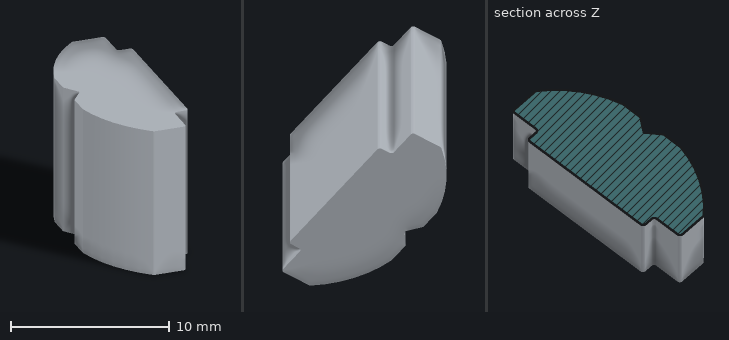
import cadquery as cq
import math

length = 10.0
body_width = 14.5
body_depth = 6.2

neck_width = 10.0
neck_height = 1.0

wall_end_depth = 3.2
flat_width = 5.0
curve_radius = 8.5

groove_width = 2.0
groove_depth = 0.75

edge_radius = 0.2

half_body = body_width / 2
half_neck = neck_width / 2
half_flat = flat_width / 2
half_groove = groove_width / 2


def curve_midpoint(start, end, radius):
    """Middle of the minor arc from start to end, bulging to the right of travel."""
    dx = end[0] - start[0]
    dy = end[1] - start[1]
    chord = math.hypot(dx, dy)
    bulge = radius - math.sqrt(radius**2 - (chord / 2) ** 2)
    return (
        (start[0] + end[0]) / 2 + bulge * dy / chord,
        (start[1] + end[1]) / 2 - bulge * dx / chord,
    )


def make_body():
    """Extruded profile: neck, shoulders, side walls, curved flanks and grooved flat."""
    left_wall_end = (-half_body, -wall_end_depth)
    left_flat_end = (-half_flat, -body_depth)
    right_flat_end = (half_flat, -body_depth)
    right_wall_end = (half_body, -wall_end_depth)
    return (
        cq.Workplane("XY")
        .moveTo(-half_neck, 0)
        .lineTo(-half_neck, -neck_height)
        .lineTo(-half_body, -neck_height)
        .lineTo(*left_wall_end)
        .threePointArc(curve_midpoint(left_wall_end, left_flat_end, curve_radius), left_flat_end)
        .lineTo(-half_groove, -body_depth)
        .lineTo(0, groove_depth - body_depth)
        .lineTo(half_groove, -body_depth)
        .lineTo(*right_flat_end)
        .threePointArc(curve_midpoint(right_flat_end, right_wall_end, curve_radius), right_wall_end)
        .lineTo(half_body, -neck_height)
        .lineTo(half_neck, -neck_height)
        .lineTo(half_neck, 0)
        .close()
        .extrude(length)
    )


def round_edges(body):
    """Round the lengthwise edges of the neck, shoulders and side walls."""
    upper_zone = cq.selectors.BoxSelector(
        (-body_width, -wall_end_depth - edge_radius, 0),
        (body_width, edge_radius, length),
    )
    return body.edges("|Z").edges(upper_zone).fillet(edge_radius)


result = round_edges(make_body())